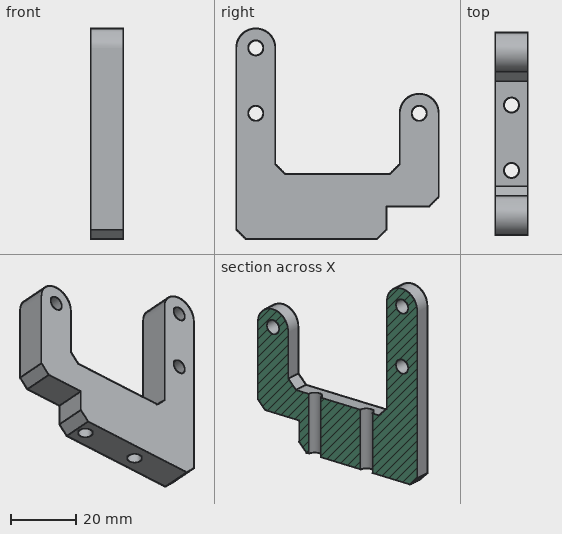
import cadquery as cq

thickness = 10.0
length = 62.0
height = 64.5

arm_radius = 6.0
arm_width = 2 * arm_radius
hole_diameter = 4.5
hole_spacing = 20.0
tall_arm_y = -length / 2 + arm_radius
short_arm_y = length / 2 - arm_radius
upper_hole_z = height - arm_radius
lower_hole_z = upper_hole_z - hole_spacing

floor_z = 20.0
step_z = 10.0
step_overhang = 16.0
step_y = length / 2 - step_overhang
chamfer = 2.95

base_hole_center_y = -1.2
base_hole_y = [base_hole_center_y + side * hole_spacing / 2 for side in (-1, 1)]


def plate():
    """Side outline in the YZ plane, extruded through the thickness."""
    y_min = -length / 2
    y_max = length / 2
    tall_inner_y = y_min + arm_width
    short_inner_y = y_max - arm_width
    return (
        cq.Workplane("YZ")
        .moveTo(y_min + chamfer, 0)
        .lineTo(step_y - chamfer, 0)
        .lineTo(step_y, chamfer)
        .lineTo(step_y, step_z)
        .lineTo(y_max - chamfer, step_z)
        .lineTo(y_max, step_z + chamfer)
        .lineTo(y_max, lower_hole_z)
        .threePointArc((short_arm_y, lower_hole_z + arm_radius), (short_inner_y, lower_hole_z))
        .lineTo(short_inner_y, floor_z + chamfer)
        .lineTo(short_inner_y - chamfer, floor_z)
        .lineTo(tall_inner_y + chamfer, floor_z)
        .lineTo(tall_inner_y, floor_z + chamfer)
        .lineTo(tall_inner_y, upper_hole_z)
        .threePointArc((tall_arm_y, height), (y_min, upper_hole_z))
        .lineTo(y_min, chamfer)
        .close()
        .extrude(thickness / 2, both=True)
    )


def arm_holes():
    """Cross holes through the arms, along X."""
    centers = [
        (tall_arm_y, upper_hole_z),
        (tall_arm_y, lower_hole_z),
        (short_arm_y, lower_hole_z),
    ]
    return (
        cq.Workplane("YZ")
        .pushPoints(centers)
        .circle(hole_diameter / 2)
        .extrude(thickness, both=True)
    )


def base_holes():
    """Vertical holes through the base, along Z."""
    return (
        cq.Workplane("XY")
        .pushPoints([(0, y) for y in base_hole_y])
        .circle(hole_diameter / 2)
        .extrude(height)
    )


result = plate().cut(arm_holes()).cut(base_holes())